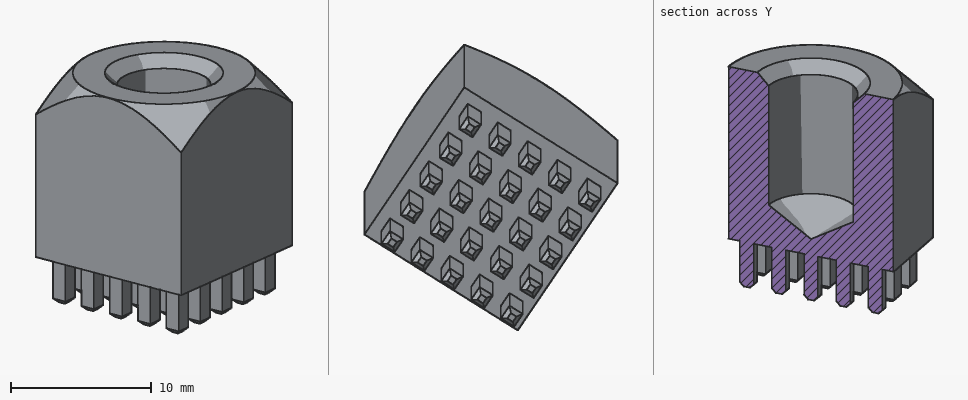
import cadquery as cq
import math

total_height = 17.0
body_width = 13.0
pin_length = 3.5
body_height = total_height - pin_length

top_face_diameter = 12.97
corner_cut_angle = 45.0

hole_diameter = 6.65
hole_depth = 10.2
drill_point_angle = 118.0
countersink_diameter = 8.42
countersink_depth = (countersink_diameter - hole_diameter) / 2

pins_per_side = 5
pin_pitch = 2.53
pin_width = 1.12
pin_tip_chamfer = 0.32


def make_body():
    """Square block whose top corners are trimmed by a cone."""
    block = cq.Workplane("XY").rect(body_width, body_width).extrude(body_height)
    top_radius = top_face_diameter / 2
    outer_radius = body_width
    drop = (outer_radius - top_radius) * math.tan(math.radians(corner_cut_angle))
    envelope = (
        cq.Workplane("XZ")
        .moveTo(0, 0)
        .lineTo(outer_radius, 0)
        .lineTo(outer_radius, body_height - drop)
        .lineTo(top_radius, body_height)
        .lineTo(0, body_height)
        .close()
        .revolve(360, (0, 0), (0, 1))
    )
    return block.intersect(envelope)


def make_hole():
    """Countersunk blind hole with a drill-point bottom."""
    hole_radius = hole_diameter / 2
    wall_end = body_height - hole_depth
    point_depth = hole_radius / math.tan(math.radians(drill_point_angle / 2))
    return (
        cq.Workplane("XZ")
        .moveTo(0, body_height)
        .lineTo(countersink_diameter / 2, body_height)
        .lineTo(hole_radius, body_height - countersink_depth)
        .lineTo(hole_radius, wall_end)
        .lineTo(0, wall_end - point_depth)
        .close()
        .revolve(360, (0, 0), (0, 1))
    )


def make_pins():
    """Grid of square pins hanging below the body, tips chamfered all round."""
    return (
        cq.Workplane("XY")
        .rarray(pin_pitch, pin_pitch, pins_per_side, pins_per_side)
        .rect(pin_width, pin_width)
        .extrude(-pin_length)
        .faces("<Z")
        .chamfer(pin_tip_chamfer)
    )


result = make_body().cut(make_hole()).union(make_pins())